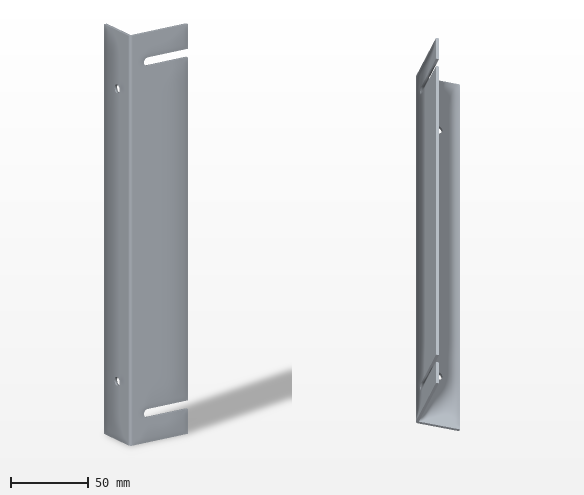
import cadquery as cq

height = 280.0
front_width = 30.0
side_depth = 45.0
thickness = 2.0
bend_radius = thickness

hole_diameter = 6.0
hole_x = front_width / 2
hole_heights = (40.0, 240.0)

slot_width = 6.0
slot_length = 34.2
slot_heights = (20.0, 260.0)


def angle_plate():
    """L-shaped plate along Z, with a rounded outer bend at +X, -Y."""
    inner_x = front_width - thickness
    outline = [
        (0, 0),
        (front_width, 0),
        (front_width, side_depth),
        (inner_x, side_depth),
        (inner_x, thickness),
        (0, thickness),
    ]
    plate = cq.Workplane("XY").polyline(outline).close().extrude(height)
    outer_corner = cq.selectors.NearestToPointSelector((front_width, 0, height / 2))
    return plate.edges(outer_corner).fillet(bend_radius)


def front_hole(z):
    """Cutter along Y through the front leg."""
    return (
        cq.Workplane("XZ")
        .center(hole_x, z)
        .circle(hole_diameter / 2)
        .extrude(-thickness)
    )


def side_slot(z):
    """Cutter along X, open at the +Y edge and rounded at its inner end."""
    radius = slot_width / 2
    end_y = side_depth - slot_length
    return (
        cq.Workplane("YZ", origin=(front_width - thickness, 0, z))
        .moveTo(side_depth, -radius)
        .lineTo(end_y + radius, -radius)
        .threePointArc((end_y, 0), (end_y + radius, radius))
        .lineTo(side_depth, radius)
        .close()
        .extrude(thickness)
    )


result = angle_plate()
for z in hole_heights:
    result = result.cut(front_hole(z))
for z in slot_heights:
    result = result.cut(side_slot(z))